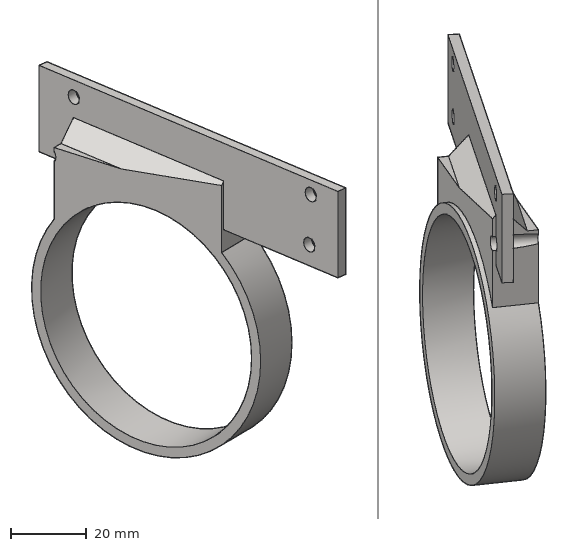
import cadquery as cq
import math

ring_outer_diameter = 75.0
ring_inner_diameter = 69.0
ring_depth = 14.0

plate_tilt = 7.9
plate_length = 110.0
plate_thickness = 3.1
plate_top = 59.8
plate_bottom = ring_inner_diameter / 2
plate_height = plate_top - plate_bottom
plate_left = -42.7
plate_front_limit = -4.8

neck_left = -30.1
neck_right = 24.7
neck_width = neck_right - neck_left
neck_depth = 12.6
neck_shoulder = 43.3

gusset_size = 5.5
gusset_top = neck_shoulder + gusset_size

hole_diameter = 4.0
hole_centers = [(-30.0, 54.8), (-30.4, 40.7), (56.4, 55.6), (55.9, 40.7)]
cutter_reach = 32.8

tilt_sine = math.sin(math.radians(plate_tilt))
tilt_cosine = math.cos(math.radians(plate_tilt))

plate_corner = (plate_left, plate_front_limit + plate_length * tilt_sine, plate_bottom)
plate_frame = cq.Plane(
    origin=plate_corner,
    xDir=(tilt_cosine, -tilt_sine, 0),
    normal=(-tilt_sine, -tilt_cosine, 0),
)


def ring_cylinder(diameter):
    return cq.Workplane("XZ").circle(diameter / 2).extrude(-ring_depth)


def neck_box(top):
    """Block with the neck's footprint, from the ring axis up to the given height."""
    box = cq.Workplane("XY").box(neck_width, neck_depth, top, centered=False)
    return box.translate((neck_left, 0, 0))


def make_plate():
    return (
        cq.Workplane(plate_frame)
        .rect(plate_length, plate_height, centered=False)
        .extrude(-plate_thickness)
    )


def make_gussets():
    """Trapezoid swept along the plate and trimmed to the neck's footprint."""
    section_plane = cq.Plane(
        origin=plate_corner,
        xDir=(-tilt_sine, -tilt_cosine, 0),
        normal=(-tilt_cosine, tilt_sine, 0),
    )
    base_height = neck_shoulder - plate_bottom
    top_height = gusset_top - plate_bottom
    section = [
        (gusset_size, base_height),
        (0, top_height),
        (-plate_thickness, top_height),
        (-plate_thickness - gusset_size, base_height),
    ]
    sweep = cq.Workplane(section_plane).polyline(section).close().extrude(-plate_length)
    return sweep.intersect(neck_box(gusset_top))


def make_hole_cutters():
    """Cylinders through the plate that also groove the neck where they meet it."""
    points = [((x - plate_left) / tilt_cosine, z - plate_bottom) for x, z in hole_centers]
    cutters = cq.Workplane(plate_frame).pushPoints(points).circle(hole_diameter / 2)
    return cutters.extrude(cutter_reach, both=True)


body = ring_cylinder(ring_outer_diameter).union(neck_box(neck_shoulder))
body = body.cut(ring_cylinder(ring_inner_diameter))
body = body.union(make_gussets()).union(make_plate())
result = body.cut(make_hole_cutters())